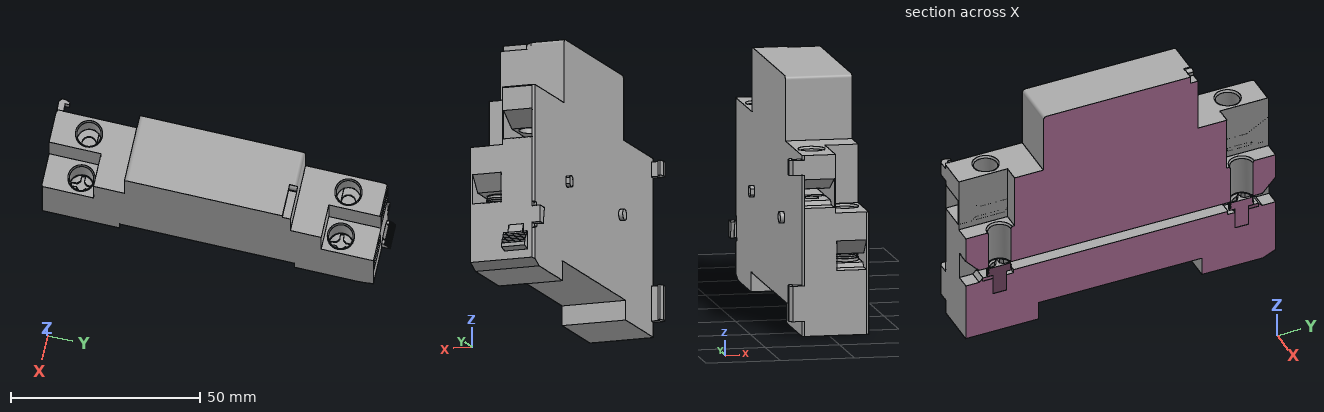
import cadquery as cq
import math

width = 18.0
depth = 90.0
height = 66.0
mid_y = depth / 2
cut_margin = 1.0

shoulder_z = 48.6
tower_length = 45.0
tower_fillet = 1.1
rail_front_y = 21.2
rail_back_y = 68.6
rail_depth = 5.35
heel_length = 3.7
heel_height = 1.6
front_bevel_x, front_bevel_y = 0.65, 0.3
back_bevel_x, back_bevel_y = 0.65, 0.7
shoulder_bevel = 0.3

step_x = width / 2
step_z = 32.9
step_length = 14.15

notch_x = 9.35
notch_length = 2.2
notch_depth = 2.0
notch_rib_width = 1.2
notch_rib_drop = 0.3
notch_rib_sweep = 60.0

left_x, right_x = width / 4, width * 3 / 4
opening_width = 8.0
opening_wall = 0.65
left_opening_x = opening_wall + opening_width / 2
right_opening_x = width - left_opening_x
left_sill_z, right_sill_z = 34.4, 17.45
left_opening_height, right_opening_height = 7.7, 7.95
sill_rise = 1.1
sill_length = 3.9
tunnel_height_left, tunnel_height_right = 3.0, 2.7
funnel_length_left, funnel_length_right = 6.3, 3.8
screw_y = 9.85
shaft_diameter = 6.45
shaft_mouth_diameter = 7.2
shaft_mouth_depth = 0.6

plate_thickness = 1.0
plate_start = sill_length + sill_rise
plate_overhang = 2.0
pocket_overhang = 4.0
plate_end = screw_y + plate_overhang
plate_hole_diameter = 3.8
pocket_end = screw_y + pocket_overhang

lower_collar_diameter = 7.1
upper_collar_diameter = 6.8
lower_collar_height = 0.8
upper_collar_z0, upper_collar_z1 = 1.3, 1.8
head_diameter = 6.4
head_side_height = 2.5
dome_height = 1.6
shank_length = 6.0
cross_arm_length = 5.5
cross_arm_width = 1.0
cross_core = 2.5
cross_depth = 1.6
back_screw_turn = 5.0

pin_z = 27.7
pin_diameter = 3.0
pin_height = 1.15
round_pin_y, flat_pin_y = 25.0, 65.0
flat_pin_width = 2.5

hook_reach = 3.41
hook_thickness = 1.85
hook_tip_y = 3.0
hook_tip_width = 1.15
hook_bevel_x, hook_bevel_y = 0.9, 0.6
hook_lead_in = 0.5
hook_spans = [(4.1, 13.6), (43.3, 47.35)]

back_hook_reach = 1.7
back_hook_tip = 1.0
back_hook_arm_y = 88.0
back_hook_z0, back_hook_z1 = 11.1, 15.6
back_hook_tip_y0, back_hook_tip_y1 = 87.7, 86.8
hook_recess_depth = back_bevel_x
recess_top_y, recess_top_z = 88.4, 16.85
recess_corner_y, recess_corner_z = 87.8, 10.5
recess_bottom_y, recess_bottom_z = 89.4, 9.7

latch_x0, latch_x1 = 1.85, 8.35
latch_reach = 2.33
latch_neck_inset = 1.2
latch_neck_y = 90.75
latch_neck_z0, latch_neck_z1 = 8.7, 10.9
latch_lip_z0, latch_lip_z1 = 4.5, 5.6
latch_bottom_z = 3.9
latch_grip_steps = 6


def block(x0, x1, y0, y1, z0, z1):
    """Box given by its limits along each axis."""
    return cq.Workplane("XY").box(x1 - x0, y1 - y0, z1 - z0, centered=False).translate((x0, y0, z0))


def side_plate(points, x0, x1):
    """Outline of (y, z) points, extruded from x0 to x1."""
    return cq.Workplane("YZ").polyline(points).close().extrude(x1 - x0).translate((x0, 0, 0))


def at_back(shape):
    """Mirror a front feature to the back end of the housing."""
    return shape.mirror("XZ", (0, mid_y, 0))


def housing_shell():
    """Body with a tower, a rail cutout below and low steps at both ends of the right half."""
    tower_front = mid_y - tower_length / 2
    tower_back = mid_y + tower_length / 2
    body = side_plate(
        [
            (0, 0),
            (rail_front_y, 0),
            (rail_front_y, rail_depth),
            (rail_back_y, rail_depth),
            (rail_back_y, 0),
            (depth - heel_length, 0),
            (depth, heel_height),
            (depth, shoulder_z - shoulder_bevel),
            (depth - shoulder_bevel, shoulder_z),
            (tower_back, shoulder_z),
            (tower_back, height),
            (tower_front, height),
            (tower_front, shoulder_z),
            (0, shoulder_z),
        ],
        0,
        width,
    )
    body = body.faces(">Z").edges("|X").fillet(tower_fillet)
    step = block(step_x, width + cut_margin, -cut_margin, step_length, step_z, shoulder_z + cut_margin)
    return body.cut(step).cut(at_back(step))


def edge_bevel(corner_x, corner_y, run_x, run_y):
    """Cutter that bevels one upright corner; the signs of the runs point into the housing."""
    return (
        cq.Workplane("XY")
        .polyline([(corner_x, corner_y), (corner_x + run_x, corner_y), (corner_x, corner_y + run_y)])
        .close()
        .extrude(shoulder_z)
    )


def tower_notch():
    """Square corner notch in the back top edge of the tower."""
    back = mid_y + tower_length / 2
    return block(
        notch_x,
        width + cut_margin,
        back - notch_length,
        back + cut_margin,
        height - notch_depth,
        height + cut_margin,
    )


def notch_rib():
    """Rib along the side of the notch, set below the tower top and rounded down into the notch."""
    sweep = math.radians(notch_rib_sweep)
    radius = notch_rib_width / math.sin(sweep)
    top_z = height - notch_rib_drop
    floor_z = height - notch_depth
    arc_middle = (notch_x + radius * math.sin(sweep / 2), top_z - radius * (1 - math.cos(sweep / 2)))
    arc_end = (notch_x + notch_rib_width, top_z - radius * (1 - math.cos(sweep)))
    return (
        cq.Workplane("XZ", origin=(0, mid_y + tower_length / 2, 0))
        .moveTo(notch_x, top_z)
        .threePointArc(arc_middle, arc_end)
        .lineTo(notch_x + notch_rib_width, floor_z)
        .lineTo(notch_x, floor_z)
        .close()
        .extrude(notch_length)
    )


def wire_opening(center_x, sill_z, opening_height, funnel_length, tunnel_height):
    """Funnel from the front face to the tunnel that runs to the middle of the housing."""
    floor_z = sill_z + sill_rise
    ceiling_z = floor_z + tunnel_height
    return side_plate(
        [
            (0, sill_z),
            (sill_length, sill_z),
            (plate_start, floor_z),
            (mid_y, floor_z),
            (mid_y, ceiling_z),
            (funnel_length, ceiling_z),
            (0, sill_z + opening_height),
        ],
        center_x - opening_width / 2,
        center_x + opening_width / 2,
    )


def plate_pocket(center_x, floor_z):
    """Recess in a terminal floor, longer than the plate that lies in it."""
    half = opening_width / 2
    return block(center_x - half, center_x + half, plate_start, pocket_end, floor_z - plate_thickness, floor_z)


def screw_shaft(center_x, floor_z, top_z):
    """Round shaft with a conical mouth, from the terminal floor up to the top face."""
    shaft = cq.Workplane("XY").circle(shaft_diameter / 2).extrude(top_z - floor_z)
    mouth = (
        cq.Workplane("XY", origin=(0, 0, top_z - floor_z - shaft_mouth_depth))
        .circle(shaft_diameter / 2)
        .workplane(offset=shaft_mouth_depth)
        .circle(shaft_mouth_diameter / 2)
        .loft()
    )
    return shaft.union(mouth).translate((center_x, screw_y, floor_z))


def shank_bore(floor_z):
    """Blind bore below a plate that takes the end of a screw shank."""
    return (
        cq.Workplane("XY", origin=(right_x, screw_y, floor_z - shank_length))
        .circle(plate_hole_diameter / 2)
        .extrude(shank_length)
    )


def locating_pins():
    """Round pin near the front and a pin with two flats near the back."""
    round_pin = cq.Workplane("YZ", origin=(-pin_height, round_pin_y, pin_z)).circle(pin_diameter / 2)
    flat_pin = cq.Workplane("YZ", origin=(-pin_height, flat_pin_y, pin_z)).circle(pin_diameter / 2)
    flats = block(
        -pin_height,
        0,
        flat_pin_y - flat_pin_width / 2,
        flat_pin_y + flat_pin_width / 2,
        pin_z - pin_diameter,
        pin_z + pin_diameter,
    )
    return round_pin.extrude(pin_height).union(flat_pin.extrude(pin_height).intersect(flats))


def front_hook(z0, z1):
    """Hook in line with the front face, its tip bent towards the back."""
    return (
        cq.Workplane("XY", origin=(0, 0, z0))
        .polyline(
            [
                (front_bevel_x, 0),
                (front_bevel_x, hook_thickness),
                (hook_tip_width - hook_reach, hook_thickness),
                (hook_tip_width - hook_reach, hook_tip_y),
                (hook_lead_in - hook_reach, hook_tip_y),
                (-hook_reach, hook_thickness),
                (-hook_reach, hook_bevel_y),
                (hook_bevel_x - hook_reach, 0),
            ]
        )
        .close()
        .extrude(z1 - z0)
    )


def hook_recess():
    """Shallow recess in the left face around the root of the back hook."""
    return side_plate(
        [
            (depth, recess_top_z),
            (recess_top_y, recess_top_z),
            (back_hook_arm_y, back_hook_z0),
            (recess_corner_y, recess_corner_z),
            (recess_bottom_y, recess_bottom_z),
            (depth, recess_bottom_z),
        ],
        0,
        hook_recess_depth,
    )


def back_hook():
    """Hook rooted in the recess, its tip bent towards the front."""
    tip_start_x = back_hook_tip - back_hook_reach
    arm = block(tip_start_x, hook_recess_depth, back_hook_arm_y, depth, back_hook_z0, back_hook_z1)
    tip = side_plate(
        [
            (depth, back_hook_z1),
            (back_hook_tip_y1, back_hook_z1),
            (back_hook_tip_y0, back_hook_z0),
            (depth, back_hook_z0),
        ],
        -back_hook_reach,
        tip_start_x,
    )
    return arm.union(tip)


left_floor_z = left_sill_z + sill_rise
right_floor_z = right_sill_z + sill_rise

housing = housing_shell()
housing = housing.cut(edge_bevel(0, 0, front_bevel_x, front_bevel_y))
housing = housing.cut(edge_bevel(width, 0, -front_bevel_x, front_bevel_y))
housing = housing.cut(edge_bevel(0, depth, back_bevel_x, -back_bevel_y))
housing = housing.cut(tower_notch()).union(notch_rib()).cut(hook_recess())
terminal_cutters = [
    wire_opening(left_opening_x, left_sill_z, left_opening_height, funnel_length_left, tunnel_height_left),
    wire_opening(right_opening_x, right_sill_z, right_opening_height, funnel_length_right, tunnel_height_right),
    plate_pocket(left_opening_x, left_floor_z),
    plate_pocket(right_opening_x, right_floor_z),
    screw_shaft(left_x, left_floor_z, shoulder_z),
    screw_shaft(right_x, right_floor_z, step_z),
    shank_bore(right_floor_z),
]
for cutter in terminal_cutters:
    housing = housing.cut(cutter).cut(at_back(cutter))
housing = housing.union(locating_pins()).union(back_hook())
for hook_bottom, hook_top in hook_spans:
    housing = housing.union(front_hook(hook_bottom, hook_top))


def terminal_plate(opening_x, hole_x, floor_z):
    """Flat plate, flush with the terminal floor, with a hole below the screw shaft."""
    half = opening_width / 2
    plate = block(opening_x - half, opening_x + half, plate_start, plate_end, floor_z - plate_thickness, floor_z)
    hole = (
        cq.Workplane("XY", origin=(hole_x, screw_y, floor_z - plate_thickness))
        .circle(plate_hole_diameter / 2)
        .extrude(plate_thickness)
    )
    return plate.cut(hole)


plates = []
for opening_x, hole_x, floor_z in [
    (left_opening_x, left_x, left_floor_z),
    (right_opening_x, right_x, right_floor_z),
]:
    plate = terminal_plate(opening_x, hole_x, floor_z)
    plates += [plate.val(), at_back(plate).val()]


def terminal_screw(center_y, turn):
    """Domed screw with two collars and a cross recess, turned by an angle in degrees."""
    shank_r = plate_hole_diameter / 2
    lower_r = lower_collar_diameter / 2
    upper_r = upper_collar_diameter / 2
    head_r = head_diameter / 2
    top = head_side_height + dome_height
    dome_r = (head_r**2 + dome_height**2) / (2 * dome_height)
    dome_mid_x = head_r / 2
    dome_mid_z = top - dome_r + math.sqrt(dome_r**2 - dome_mid_x**2)
    screw = (
        cq.Workplane("XZ")
        .moveTo(0, -shank_length)
        .lineTo(shank_r, -shank_length)
        .lineTo(shank_r, 0)
        .lineTo(lower_r, 0)
        .lineTo(lower_r, lower_collar_height)
        .lineTo(head_r, lower_collar_height)
        .lineTo(head_r, upper_collar_z0)
        .lineTo(upper_r, upper_collar_z0)
        .lineTo(upper_r, upper_collar_z1)
        .lineTo(head_r, upper_collar_z1)
        .lineTo(head_r, head_side_height)
        .threePointArc((dome_mid_x, dome_mid_z), (0, top))
        .close()
        .revolve(360, (0, 0, 0), (0, 1, 0))
    )
    recess_sketch = cq.Workplane("XY", origin=(0, 0, top - cross_depth))
    recess = recess_sketch.rect(cross_arm_length, cross_arm_width).extrude(cross_depth)
    recess = recess.union(recess_sketch.rect(cross_arm_width, cross_arm_length).extrude(cross_depth))
    core = recess_sketch.rect(cross_core, cross_core).extrude(cross_depth)
    recess = recess.union(core.rotate((0, 0, 0), (0, 0, 1), 45))
    screw = screw.cut(recess).rotate((0, 0, 0), (0, 0, 1), turn)
    return screw.translate((right_x, center_y, right_floor_z))


screws = [terminal_screw(screw_y, 0).val(), terminal_screw(depth - screw_y, back_screw_turn).val()]


def rail_latch():
    """Wedge on the back face, with a stepped grip on its slope and a narrower neck above it."""
    lip_y = depth + latch_reach
    outline = [(depth, latch_bottom_z), (lip_y, latch_lip_z0)]
    tread = (lip_y - latch_neck_y) / latch_grip_steps
    riser = (latch_neck_z0 - latch_lip_z1) / latch_grip_steps
    for step in range(latch_grip_steps):
        outer_y = lip_y - step * tread
        top_z = latch_lip_z1 + step * riser
        outline += [(outer_y, top_z), (outer_y - tread, top_z)]
    outline += [(latch_neck_y, latch_neck_z0), (depth, latch_neck_z0)]
    wedge = side_plate(outline, latch_x0, latch_x1)
    neck = side_plate(
        [(depth, latch_neck_z0), (latch_neck_y, latch_neck_z0), (depth, latch_neck_z1)],
        latch_x0 + latch_neck_inset,
        latch_x1 - latch_neck_inset,
    )
    return wedge.union(neck)


latch = rail_latch()

result = cq.Compound.makeCompound([housing.val(), *plates, *screws, latch.val()])